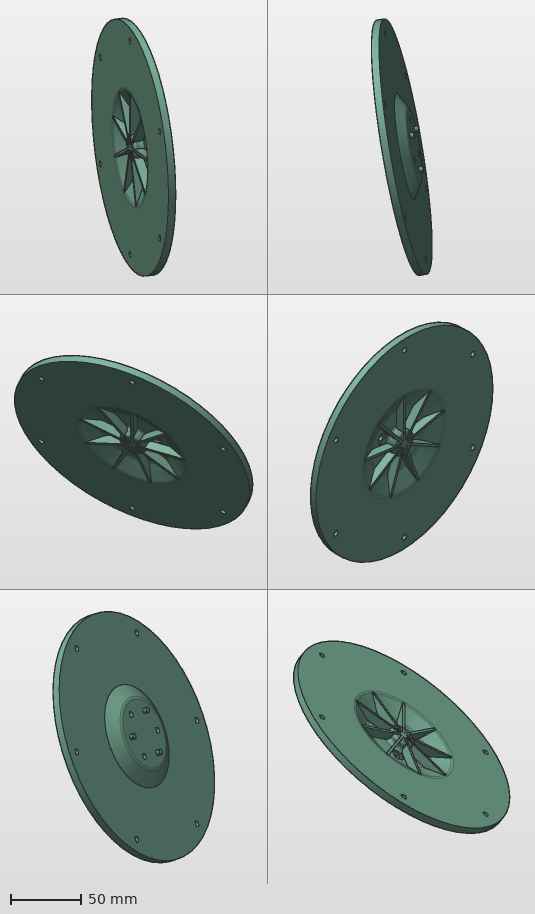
import cadquery as cq
import math


DISC_DIAMETER = 184.0
DISC_THICKNESS = 5.5
RIM_HOLE_COUNT = 6
RIM_HOLE_DIAMETER = 4.2
RIM_HOLE_CIRCLE_RADIUS = 82.0
FIRST_RIM_HOLE_ANGLE = 90.0

BOWL_MOUTH_RADIUS = 42.0
BOWL_FLOOR_RADIUS = 27.0
BOWL_FLOOR_DEPTH = 7.0
BOWL_ROUND = 5.0
BOWL_BACK_DEPTH = 12.1
BOWL_BACK_RADIUS = 26.7
BOWL_BACK_ANGLE = 30.0
TOTAL_DEPTH = 15.0

BOSS_DIAMETER = 21.0
BOSS_TOP_DIAMETER = 16.5
BOSS_TOP_DEPTH = 0.2
BOSS_BASE_ROUND = 3.0

FASTENER_COUNT = 3
FASTENER_CIRCLE_RADIUS = 18.0
HOLE_DIAMETER = 4.2
COUNTERBORE_DIAMETER = 9.0
COUNTERBORE_DEPTH = 1.5
PIN_DIAMETER = 4.0
FIRST_HOLE_ANGLE = 30.0
FIRST_PIN_ANGLE = FIRST_HOLE_ANGLE + 180 / FASTENER_COUNT

FIN_COUNT = 9
FIN_THICKNESS = 2.0
FIRST_FIN_ANGLE = 90.0

EDGE_MARGIN = 0.1

BOSS_TOP_ROUND = (BOSS_DIAMETER - BOSS_TOP_DIAMETER) / 2
BOSS_RADIUS = BOSS_DIAMETER / 2
BACK_SLOPE = math.tan(math.radians(BOWL_BACK_ANGLE))
BACK_CONE_FRONT_RADIUS = BOWL_BACK_RADIUS + BOWL_BACK_DEPTH / BACK_SLOPE


def turned(points):
    """Solid of revolution about Y from (radius, depth) points."""
    return cq.Workplane("XY").polyline(points).close().revolve(360, (0, 0, 0), (0, 1, 0))


def cylinders(diameter, start_depth, end_depth, places):
    """Equal cylinders along Y at the given (x, z) places."""
    plane = cq.Workplane("XZ", origin=(0, start_depth, 0))
    return plane.pushPoints(places).circle(diameter / 2).extrude(start_depth - end_depth)


def ring_places(count, radius, first_angle):
    """Evenly spaced (x, z) places on a circle about the Y axis."""
    angles = [math.radians(first_angle + i * 360 / count) for i in range(count)]
    return [(radius * math.cos(a), radius * math.sin(a)) for a in angles]


CENTRE = [(0, 0)]
RIM_HOLE_PLACES = ring_places(RIM_HOLE_COUNT, RIM_HOLE_CIRCLE_RADIUS, FIRST_RIM_HOLE_ANGLE)
HOLE_PLACES = ring_places(FASTENER_COUNT, FASTENER_CIRCLE_RADIUS, FIRST_HOLE_ANGLE)
PIN_PLACES = ring_places(FASTENER_COUNT, FASTENER_CIRCLE_RADIUS, FIRST_PIN_ANGLE)


def circle_edge(radius, depth):
    """Selector for the circular edges at this depth that reach no farther out than this radius."""
    reach = radius + EDGE_MARGIN
    return cq.selectors.BoxSelector(
        (-reach, depth - EDGE_MARGIN, -reach),
        (reach, depth + EDGE_MARGIN, reach),
        boundingbox=True,
    )


def bowl_cavity():
    """Hollow of the bowl before its edges are rounded."""
    return turned([
        (0, 0),
        (BOWL_MOUTH_RADIUS, 0),
        (BOWL_FLOOR_RADIUS, BOWL_FLOOR_DEPTH),
        (0, BOWL_FLOOR_DEPTH),
    ])


def make_dished_disc():
    """Disc with a conical back bulge and a hollow bowl, all bowl edges rounded."""
    back_cone = turned([
        (0, 0),
        (BACK_CONE_FRONT_RADIUS, 0),
        (BOWL_BACK_RADIUS, BOWL_BACK_DEPTH),
        (0, BOWL_BACK_DEPTH),
    ])
    body = cylinders(DISC_DIAMETER, 0, DISC_THICKNESS, CENTRE).union(back_cone)
    body = body.edges(circle_edge(BOWL_BACK_RADIUS, BOWL_BACK_DEPTH)).fillet(BOWL_ROUND)
    body = body.cut(bowl_cavity())
    body = body.edges(circle_edge(BOWL_MOUTH_RADIUS, 0)).fillet(BOWL_ROUND)
    return body.edges(circle_edge(BOWL_FLOOR_RADIUS, BOWL_FLOOR_DEPTH)).fillet(BOWL_ROUND)


def add_boss(body):
    """Boss rounded at its top and blended into the bowl floor."""
    body = body.union(cylinders(BOSS_DIAMETER, BOSS_TOP_DEPTH, BOWL_FLOOR_DEPTH, CENTRE))
    body = body.edges(circle_edge(BOSS_RADIUS, BOWL_FLOOR_DEPTH)).fillet(BOSS_BASE_ROUND)
    return body.edges(circle_edge(BOSS_RADIUS, BOSS_TOP_DEPTH)).fillet(BOSS_TOP_ROUND)


def cut_holes(body):
    """Plain holes near the disc edge and counterbored holes in the bowl floor."""
    counterbore_end = BOWL_FLOOR_DEPTH + COUNTERBORE_DEPTH
    body = body.cut(cylinders(RIM_HOLE_DIAMETER, 0, DISC_THICKNESS, RIM_HOLE_PLACES))
    body = body.cut(cylinders(HOLE_DIAMETER, 0, BOWL_BACK_DEPTH, HOLE_PLACES))
    return body.cut(cylinders(COUNTERBORE_DIAMETER, BOWL_FLOOR_DEPTH, counterbore_end, HOLE_PLACES))


def make_housing():
    """Dished disc with its boss, holes and back pins."""
    body = cut_holes(add_boss(make_dished_disc()))
    return body.union(cylinders(PIN_DIAMETER, BOWL_BACK_DEPTH, TOTAL_DEPTH, PIN_PLACES))


def make_fins(housing):
    """Star of radial fins, shaped by the bowl surface they rest on."""
    fins = cq.Workplane("XY")
    blade = cq.Workplane("XY").box(
        BOWL_MOUTH_RADIUS, BOWL_FLOOR_DEPTH, FIN_THICKNESS, centered=(False, False, True)
    )
    for i in range(FIN_COUNT):
        angle = -(FIRST_FIN_ANGLE + i * 360 / FIN_COUNT)
        fins = fins.union(blade.rotate((0, 0, 0), (0, 1, 0), angle))
    return fins.intersect(bowl_cavity()).cut(housing)


housing = make_housing()
fins = make_fins(housing)
result = cq.Compound.makeCompound([housing.val(), fins.val()])